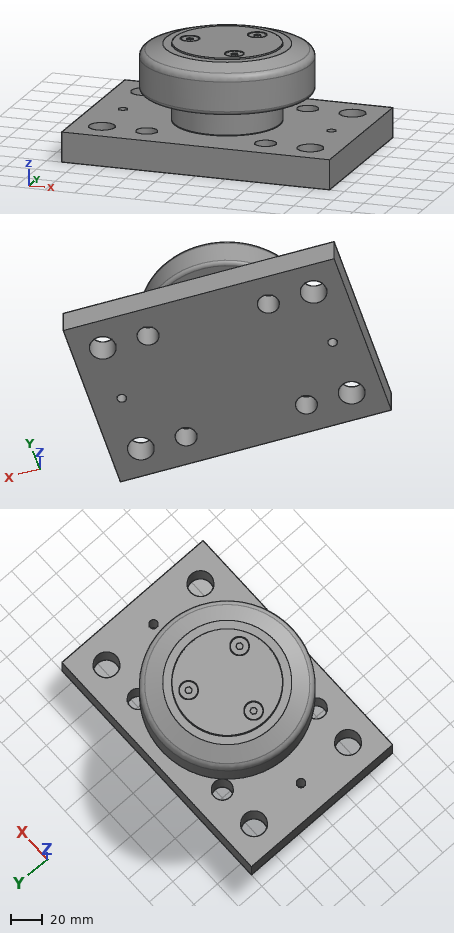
import cadquery as cq
import math

plate_length = 180.0
plate_width = 120.0
plate_thickness = 20.0
corner_hole_diameter = 17.0
corner_hole_x = 70.0
inner_hole_diameter = 13.9
hole_row_y = 40.0
inner_hole_x = hole_row_y
pin_hole_diameter = 6.0

shaft_diameter = 71.0
neck_diameter = 70.5
neck_height = 0.5

roller_diameter = 111.5
roller_radius = roller_diameter / 2
roller_bottom = 39.8
roller_top = 70.5
roller_face_radius = 40.9
crown_angle = 18.5
upper_fillet = 5.0
lower_fillet = 2.5

total_height = 71.5
cap_diameter = 70.0
bore_diameter = 70.5
cap_groove_depth = 0.9

screw_count = 3
screw_circle_radius = 25.0
counterbore_diameter = 12.5
head_diameter = 11.7
head_recess = 0.4
head_gap_depth = 1.0
socket_across_corners = 4.7
socket_depth = 0.7


def make_plate():
    corner_pitch = 2 * corner_hole_x
    inner_pitch = 2 * inner_hole_x
    row_pitch = 2 * hole_row_y
    return (
        cq.Workplane("XY")
        .box(plate_length, plate_width, plate_thickness, centered=(True, True, False))
        .faces(">Z").workplane()
        .rarray(corner_pitch, row_pitch, 2, 2).hole(corner_hole_diameter)
        .rarray(inner_pitch, row_pitch, 2, 2).hole(inner_hole_diameter)
        .rarray(corner_pitch, 1.8, 2, 1).hole(pin_hole_diameter)
    )


def disc(diameter, bottom, top):
    return cq.Workplane("XY").workplane(offset=bottom).circle(diameter / 2).extrude(top - bottom)


def ring(outer_diameter, inner_diameter, bottom, top):
    return disc(outer_diameter, bottom, top).cut(disc(inner_diameter, bottom, top))


def make_roller():
    crown_drop = (roller_radius - roller_face_radius) * math.tan(math.radians(crown_angle))
    crown_base = roller_top - crown_drop
    body = (
        cq.Workplane("XZ")
        .moveTo(0, roller_bottom)
        .lineTo(roller_radius, roller_bottom)
        .lineTo(roller_radius, crown_base)
        .lineTo(roller_face_radius, roller_top)
        .lineTo(0, roller_top)
        .close()
        .revolve(360, (0, 0, 0), (0, 1, 0))
    )
    body = body.faces("<Z").edges().fillet(lower_fillet)
    crown_edge = cq.selectors.BoxSelector(
        (-roller_radius, -roller_radius, crown_base - upper_fillet / 2),
        (roller_radius, roller_radius, crown_base + upper_fillet / 2),
    )
    return body.edges(crown_edge).fillet(upper_fillet)


def make_shaft():
    neck = disc(neck_diameter, plate_thickness, roller_bottom)
    shoulder = disc(shaft_diameter, plate_thickness + neck_height, roller_bottom - neck_height)
    return neck.union(shoulder)


def cut_screw(body, x, y):
    head_top = total_height - head_recess
    recess = disc(counterbore_diameter, head_top, total_height)
    gap = ring(counterbore_diameter, head_diameter, total_height - head_gap_depth, head_top)
    socket = (
        cq.Workplane("XY").workplane(offset=head_top - socket_depth)
        .polygon(6, socket_across_corners).extrude(socket_depth)
    )
    for void in (recess, gap, socket):
        body = body.cut(void.translate((x, y, 0)))
    return body


cap_seat = roller_top - cap_groove_depth
result = make_plate().union(make_shaft()).union(make_roller())
result = result.cut(ring(bore_diameter, cap_diameter, cap_seat, roller_top))
result = result.union(disc(cap_diameter, cap_seat, total_height))
for index in range(screw_count):
    angle = math.pi + index * 2 * math.pi / screw_count
    screw_x = screw_circle_radius * math.cos(angle)
    screw_y = screw_circle_radius * math.sin(angle)
    result = cut_screw(result, screw_x, screw_y)